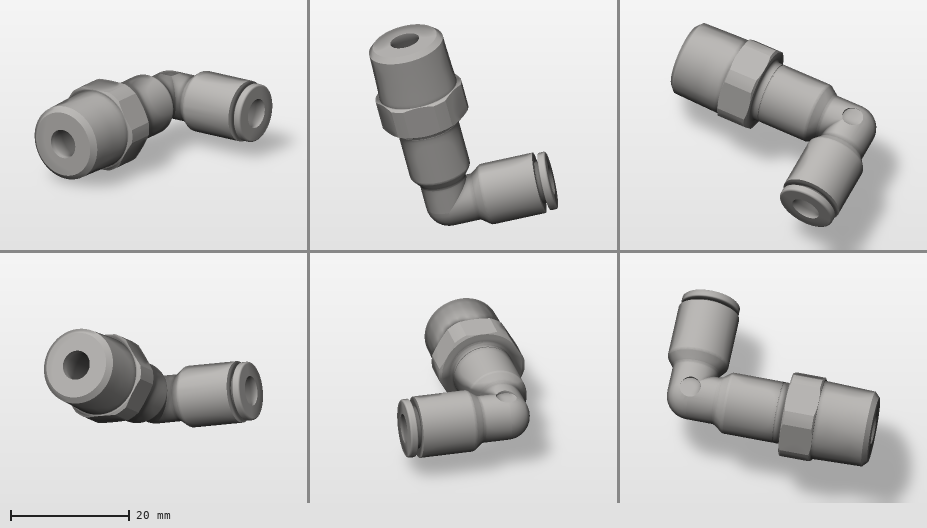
import cadquery as cq
import math

overall_length = 36.9

neck_radius = 4.0
body_radius = 5.25
shoulder_start = 4.72
shoulder_end = 6.45
shoulder_blend = 0.75
bore_radius = 2.5
elbow_y = overall_length - body_radius

thread_length = 9.5
gauge_length = 4.5
gauge_radius = 6.55
taper = 1 / 32
thread_chamfer_height = 0.85
thread_tip_radius = 5.57

hex_across_flats = 14.0
hex_corner_radius = 7.5
hex_height = 5.57
hex_chamfer_height = 0.3
hex_top = thread_length + hex_height

collar_blend = 0.45
groove_start = 16.27
groove_width = 0.2
groove_depth = 0.15

body_end = 15.72
collet_start = 16.55
collet_end = 17.85
collet_neck_radius = 3.6
collet_radius = 4.98
collet_back_round = 0.22
collet_front_round = 0.35

recess_radius = 1.77
recess_floor = 3.5

clearance = 0.37


def arm(length):
    """Necked cylinder along +Y from the origin, with a blended shoulder cone."""
    profile = (
        cq.Workplane("XY")
        .moveTo(0, 0)
        .lineTo(neck_radius, 0)
        .lineTo(neck_radius, shoulder_start)
        .lineTo(body_radius, shoulder_end)
        .lineTo(body_radius, length)
        .lineTo(0, length)
        .close()
    )
    solid = profile.revolve(360, (0, 0), (0, 1))
    shoulder = cq.selectors.BoxSelector(
        (-clearance, shoulder_start - clearance, -clearance),
        (clearance, shoulder_end + clearance, clearance),
    )
    return solid.edges(shoulder).fillet(shoulder_blend)


def rod(radius, start, end):
    """Cylinder along Y between two positions."""
    return cq.Workplane("XZ", origin=(0, start, 0)).circle(radius).extrude(start - end)


def onto_elbow_x(solid):
    """Turn a solid built along +Y from the origin into one along +X from the elbow centre."""
    return solid.rotate((0, 0, 0), (0, 0, 1), -90).translate((0, elbow_y, 0))


def onto_elbow_y(solid):
    """Turn a solid built along +Y from the origin into one along -Y from the elbow centre."""
    return solid.rotate((0, 0, 0), (0, 0, 1), 180).translate((0, elbow_y, 0))


def thread():
    """Tapered plug with a chamfered tip."""
    def radius_at(y):
        return gauge_radius + (y - gauge_length) * taper

    return (
        cq.Workplane("XY")
        .moveTo(0, 0)
        .lineTo(thread_tip_radius, 0)
        .lineTo(radius_at(thread_chamfer_height), thread_chamfer_height)
        .lineTo(radius_at(thread_length), thread_length)
        .lineTo(0, thread_length)
        .close()
        .revolve(360, (0, 0), (0, 1))
    )


def hexagon():
    """Hexagon with flats facing +Z and -Z, its corners turned down and both faces chamfered."""
    across_corners = hex_across_flats / math.cos(math.pi / 6)
    prism = (
        cq.Workplane("XZ", origin=(0, thread_length, 0))
        .polygon(6, across_corners)
        .extrude(-hex_height)
    )
    chamfer_width = hex_corner_radius - hex_across_flats / 2
    turned = rod(hex_corner_radius, thread_length, hex_top)
    turned = turned.faces("<Y").chamfer(hex_chamfer_height, chamfer_width)
    turned = turned.faces(">Y").chamfer(hex_chamfer_height, chamfer_width)
    return prism.intersect(turned)


def collar():
    """Concave flare where the stem body meets the hexagon."""
    foot_radius = body_radius + collar_blend
    flare_top = hex_top + collar_blend
    diagonal = collar_blend * math.sqrt(0.5)
    return (
        cq.Workplane("XY")
        .moveTo(0, hex_top)
        .lineTo(foot_radius, hex_top)
        .threePointArc(
            (foot_radius - diagonal, flare_top - diagonal),
            (body_radius, flare_top),
        )
        .lineTo(0, flare_top)
        .close()
        .revolve(360, (0, 0), (0, 1))
    )


def groove():
    """Ring removed from the stem body."""
    groove_end = groove_start + groove_width
    return rod(body_radius + clearance, groove_start, groove_end).cut(
        rod(body_radius - groove_depth, groove_start, groove_end)
    )


def collet():
    """Release collar at the tube end, on a narrower neck."""
    flange = rod(collet_radius, collet_start, collet_end)
    flange = flange.faces(">Y").edges().fillet(collet_front_round)
    flange = flange.faces("<Y").edges().fillet(collet_back_round)
    return rod(collet_neck_radius, body_end, collet_start).union(flange)


def elbow_ball(radius):
    """Ball at the elbow centre, its poles on the stem axis."""
    return cq.Workplane("XZ", origin=(0, elbow_y, 0)).sphere(radius)


body = onto_elbow_y(arm(elbow_y - hex_top)).union(onto_elbow_x(arm(body_end)))
body = body.union(elbow_ball(neck_radius)).union(collar()).union(hexagon()).union(thread())
body = body.union(onto_elbow_x(collet()))

bore = rod(bore_radius, 0, elbow_y).union(elbow_ball(bore_radius))
bore = bore.union(onto_elbow_x(rod(bore_radius, 0, collet_end)))
recess = (
    cq.Workplane("XY", origin=(0, elbow_y, recess_floor))
    .circle(recess_radius)
    .extrude(neck_radius)
)
result = body.cut(groove()).cut(recess).cut(bore)